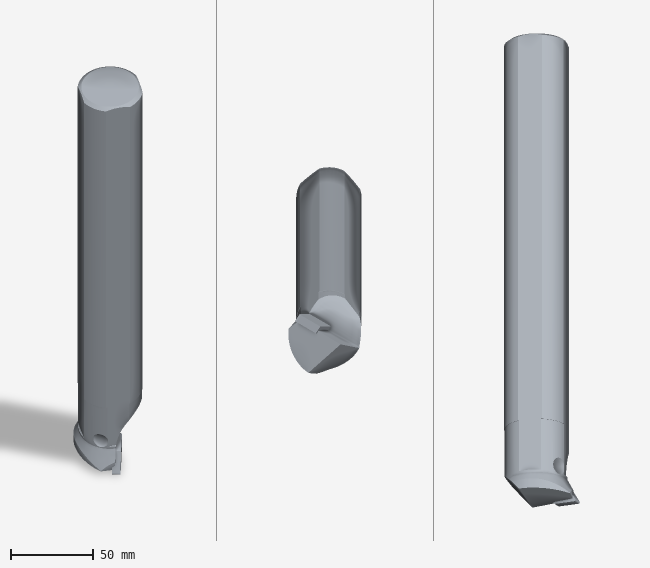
import cadquery as cq
import math

total_length = 301.2
shank_radius = 20.0
neck_radius = 19.5
neck_top = 50.3
flat_offset = 18.5
flat_end = 17.5
chamfer_inset = 2.5
chamfer_height = 1.8

flare_top = 15.7
flare_slope = 0.55
rim_radius = 22.3
rim_large_radius = 32.5
rim_right = 23.5

bevel_top = 21.0
bevel_angle = 40.0
bottom_height = 2.7
bottom_slope_x = -0.045
bottom_slope_y = -0.09

face_turn = -18.0
pocket_face = 4.2
pocket_arc_start = 13.5
pocket_arc_radius = 35.2

scoop_radius = 6.5
scoop_center = (20.0, -12.7, 21.7)

insert_angle = 55.0
insert_edge = 15.7
insert_nose = 0.8
insert_thickness = 5.0
insert_seat = 2.5
insert_clearance = 4.0
insert_reach = 26.0

margin = 60.2


def make_bar():
    """Revolved bar: flared head, slimmer neck and the shank, chamfered at the top."""
    profile = [
        (0, 0),
        (neck_radius + flare_slope * flare_top, 0),
        (neck_radius, flare_top),
        (neck_radius, neck_top),
        (shank_radius, neck_top),
        (shank_radius, total_length - chamfer_height),
        (shank_radius - chamfer_inset, total_length),
        (0, total_length),
    ]
    return cq.Workplane("XZ").polyline(profile).close().revolve(360, (0, 0, 0), (0, 1, 0))


def make_rim_envelope():
    """Prism that bounds the flared head; its straight +Y side forms the back flat."""
    large_center_y = rim_large_radius - rim_radius
    end_y = large_center_y - math.sqrt(rim_large_radius**2 - rim_right**2)
    middle_x = rim_right / 2
    middle_y = large_center_y - math.sqrt(rim_large_radius**2 - middle_x**2)
    diagonal = rim_radius * math.sqrt(0.5)
    return (
        cq.Workplane("XY")
        .moveTo(-rim_radius, 0)
        .threePointArc((-diagonal, -diagonal), (0, -rim_radius))
        .threePointArc((middle_x, middle_y), (rim_right, end_y))
        .lineTo(rim_right, flat_offset)
        .lineTo(-rim_radius, flat_offset)
        .close()
        .extrude(total_length)
    )


def make_flat_cutter(turn):
    """Block that cuts one flat, on +X when turn is zero, down to just above the flare."""
    return (
        cq.Workplane("XY")
        .box(margin, margin, total_length, centered=(False, True, False))
        .translate((flat_offset, 0, flat_end))
        .rotate((0, 0, 0), (0, 0, 1), turn)
    )


def make_bevel_cutter():
    """Slanted plane that cuts away the -X side of the head."""
    run = math.tan(math.radians(bevel_angle))
    upper = (-shank_radius - margin * run, bevel_top + margin)
    lower = (-shank_radius + margin * run, bevel_top - margin)
    return (
        cq.Workplane("XZ")
        .polyline([upper, lower, (upper[0], lower[1])])
        .close()
        .extrude(margin, both=True)
    )


def make_bottom_cutter():
    """Block below the bottom plane, which falls towards +X and +Y."""
    plane = cq.Plane(
        origin=(0, 0, bottom_height),
        xDir=(1, 0, bottom_slope_x),
        normal=(-bottom_slope_x, -bottom_slope_y, 1),
    )
    return cq.Workplane(plane).rect(2 * margin, 2 * margin).extrude(-margin)


def make_pocket_cutter():
    """Chip pocket on the +Y side: a flat face that runs out along an arc."""
    def arc_point(angle):
        return (
            pocket_face + pocket_arc_radius * (1 - math.cos(angle)),
            pocket_arc_start + pocket_arc_radius * math.sin(angle),
        )

    runout_angle = math.acos(1 - (shank_radius - pocket_face) / pocket_arc_radius)
    runout = arc_point(runout_angle)
    return (
        cq.Workplane("YZ")
        .moveTo(pocket_face, -margin)
        .lineTo(pocket_face, pocket_arc_start)
        .threePointArc(arc_point(runout_angle / 2), runout)
        .lineTo(margin, runout[1])
        .lineTo(margin, -margin)
        .close()
        .extrude(margin, both=True)
        .rotate((0, 0, 0), (0, 0, 1), face_turn)
    )


def make_insert():
    """Rhombic plate with rounded acute corners; its nose is the lowest point at Z = 0."""
    lower_angle = math.radians(180 - insert_clearance)
    upper_angle = lower_angle - math.radians(insert_angle)
    bisector = (lower_angle + upper_angle) / 2
    corner_distance = insert_nose / math.sin(math.radians(insert_angle / 2))
    corner_x = insert_reach - insert_nose - corner_distance * math.cos(bisector)
    corner_z = insert_nose - corner_distance * math.sin(bisector)
    lower = (insert_edge * math.cos(lower_angle), insert_edge * math.sin(lower_angle))
    upper = (insert_edge * math.cos(upper_angle), insert_edge * math.sin(upper_angle))
    outline = [
        (corner_x, corner_z),
        (corner_x + lower[0], corner_z + lower[1]),
        (corner_x + lower[0] + upper[0], corner_z + lower[1] + upper[1]),
        (corner_x + upper[0], corner_z + upper[1]),
    ]
    plate = cq.Workplane("XZ", origin=(0, insert_seat, 0)).polyline(outline).close().extrude(-insert_thickness)
    plate = plate.edges("|Y").edges("<X or >X").fillet(insert_nose)
    return plate.rotate((0, 0, 0), (0, 0, 1), face_turn)


insert = make_insert()

holder = make_bar().intersect(make_rim_envelope())
for turn in (0, -90):
    holder = holder.cut(make_flat_cutter(turn))
holder = holder.cut(make_bevel_cutter())
holder = holder.cut(make_bottom_cutter())
holder = holder.cut(make_pocket_cutter())
holder = holder.cut(cq.Workplane("XY").sphere(scoop_radius).translate(scoop_center))
holder = holder.cut(insert)

result = cq.Compound.makeCompound([holder.val(), insert.val()])